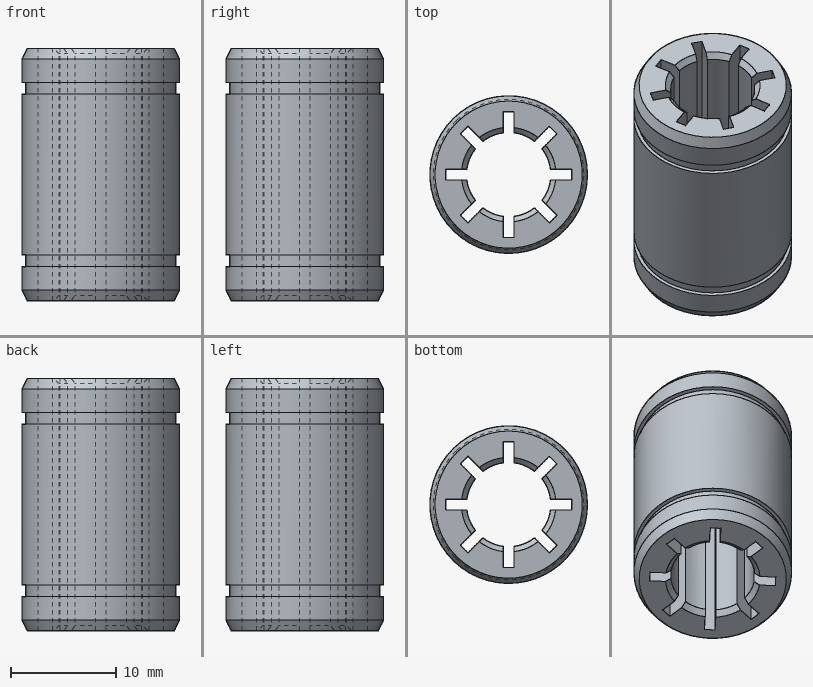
import cadquery as cq

length = 24.0
outer_diameter = 15.0
bore_diameter = 8.0

outer_bevel_height = 1.0
outer_bevel_depth = 0.5
bore_bevel = 0.5

groove_diameter = 14.3
groove_width = 1.1
groove_span = 17.5

slot_count = 8
slot_width = 1.0
slot_tip_diameter = 11.95

outer_radius = outer_diameter / 2
bore_radius = bore_diameter / 2
half_length = length / 2


def make_sleeve():
    """Revolve the bevelled wall section around the Z axis."""
    outer_bevel_z = half_length - outer_bevel_height
    bore_bevel_z = half_length - bore_bevel
    end_outer_radius = outer_radius - outer_bevel_depth
    end_bore_radius = bore_radius + bore_bevel
    section = [
        (bore_radius, -bore_bevel_z),
        (end_bore_radius, -half_length),
        (end_outer_radius, -half_length),
        (outer_radius, -outer_bevel_z),
        (outer_radius, outer_bevel_z),
        (end_outer_radius, half_length),
        (end_bore_radius, half_length),
        (bore_radius, bore_bevel_z),
    ]
    return cq.Workplane("XZ").polyline(section).close().revolve(360, (0, 0), (0, 1))


def make_groove(bottom_z):
    """Ring to remove, with its lower wall at bottom_z."""
    return (
        cq.Workplane("XY", origin=(0, 0, bottom_z))
        .circle(outer_radius)
        .circle(groove_diameter / 2)
        .extrude(groove_width)
    )


def make_slot(angle):
    """Radial slot from the axis to the slot tip, turned about Z."""
    return (
        cq.Workplane("XY")
        .box(slot_tip_diameter / 2, slot_width, length, centered=(False, True, True))
        .rotate((0, 0, 0), (0, 0, 1), angle)
    )


result = make_sleeve()
for bottom_z in (-groove_span / 2, groove_span / 2 - groove_width):
    result = result.cut(make_groove(bottom_z))
for index in range(slot_count):
    result = result.cut(make_slot(index * 360 / slot_count))